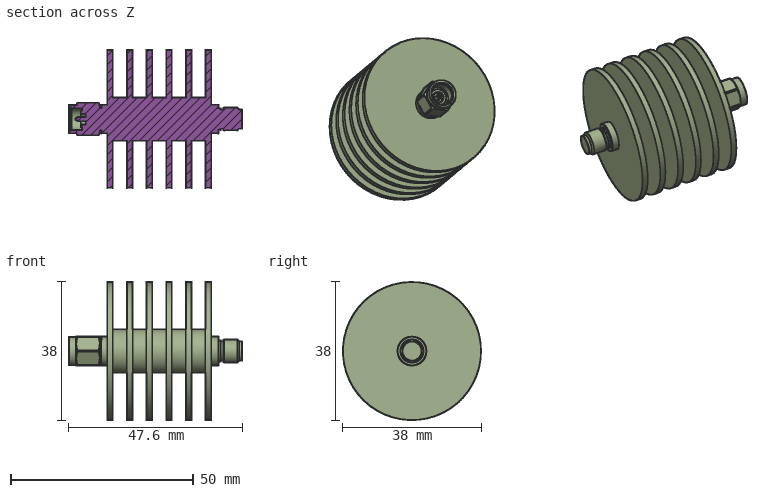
import cadquery as cq
import math

fin_radius = 19.0
fin_thickness = 1.6
fin_pitch = 5.4
fin_count = 6
first_fin_x = 10.5
hub_radius = 6.0
fins_end_x = first_fin_x + (fin_count - 1) * fin_pitch + fin_thickness

collar_radius = 4.0
front_collar_length = 1.55
rear_collar_length = 2.0
rear_collar_chamfer = 0.1
collar_start_x = first_fin_x - front_collar_length
rear_collar_end_x = fins_end_x + rear_collar_length

nut_start_x = 0.0
nut_sleeve_radius = 3.92
nut_end_x = 8.55
hex_start_x = 1.95
hex_across_flats = 8.0
hex_corner_radius = 4.5
hex_chamfer_radius = 3.8
hex_chamfer_length = 0.4
neck_radius = 3.1

mouth_radius = 3.2
mouth_depth = 0.5
bore_radius = 2.95
bore_cone_end_x = 0.75
bore_depth = 3.6

tube_radius = 2.3
tube_bore_radius = 1.46
tube_start_x = 3.2
tube_bore_end_x = 4.6
pin_shoulder_radius = 0.635
pin_shoulder_x = 2.5
pin_radius = 0.46
pin_start_x = 1.8
pin_tip_radius = 0.15
pin_tip_length = 0.4

jack_end_x = 47.6
jack_flange_radius = 3.0
jack_flange_length = 0.55
jack_groove_radius = 2.7
jack_groove_length = 0.7
jack_thread_radius = 3.2
jack_shoulder_cone_length = 0.25
jack_thread_end_x = 46.25
jack_nose_radius = 2.7
jack_nose_start_x = 46.72
jack_nose_chamfer = 0.08


def cylinder(start_x, end_x, radius):
    """Solid cylinder on the X axis."""
    return cq.Workplane("YZ", origin=(start_x, 0, 0)).circle(radius).extrude(end_x - start_x)


def revolved(profile):
    """Solid of revolution about the X axis from (x, radius) points."""
    start_x = profile[0][0]
    end_x = profile[-1][0]
    points = [(start_x, 0)] + profile + [(end_x, 0)]
    return cq.Workplane("XY").polyline(points).close().revolve(360, (0, 0, 0), (1, 0, 0))


def heat_sink():
    """Finned hub with a collar at each end."""
    body = cylinder(first_fin_x, fins_end_x, hub_radius)
    for index in range(fin_count):
        fin_x = first_fin_x + index * fin_pitch
        body = body.union(cylinder(fin_x, fin_x + fin_thickness, fin_radius))
    body = body.union(cylinder(collar_start_x, first_fin_x, collar_radius))
    rear_collar = revolved([
        (fins_end_x, collar_radius),
        (rear_collar_end_x - rear_collar_chamfer, collar_radius),
        (rear_collar_end_x, collar_radius - rear_collar_chamfer),
    ])
    return body.union(rear_collar)


def nut_hexagon():
    """Hexagon with corners on the Y axis, turned down at its corners and ends."""
    corner_diameter = hex_across_flats / math.cos(math.pi / 6)
    prism = (
        cq.Workplane("YZ", origin=(hex_start_x, 0, 0))
        .polygon(6, corner_diameter)
        .extrude(nut_end_x - hex_start_x)
    )
    envelope = revolved([
        (hex_start_x, hex_chamfer_radius),
        (hex_start_x + hex_chamfer_length, hex_corner_radius),
        (nut_end_x - hex_chamfer_length, hex_corner_radius),
        (nut_end_x, hex_chamfer_radius),
    ])
    return prism.intersect(envelope)


def nut_bore():
    """Bore with a wider mouth and a short cone between the two diameters."""
    return revolved([
        (nut_start_x, mouth_radius),
        (nut_start_x + mouth_depth, mouth_radius),
        (bore_cone_end_x, bore_radius),
        (nut_start_x + bore_depth, bore_radius),
    ])


def centre_pin():
    """Pin with a conical tip and a thicker shoulder behind it."""
    return revolved([
        (pin_start_x, pin_tip_radius),
        (pin_start_x + pin_tip_length, pin_radius),
        (pin_shoulder_x, pin_radius),
        (pin_shoulder_x, pin_shoulder_radius),
        (nut_end_x, pin_shoulder_radius),
    ])


def plug():
    """Coupling nut with the contact tube and pin in its bore, and the neck behind it."""
    nut = cylinder(nut_start_x, hex_start_x, nut_sleeve_radius).union(nut_hexagon())
    nut = nut.cut(nut_bore())
    nut = nut.union(cylinder(tube_start_x, nut_end_x, tube_radius))
    nut = nut.cut(cylinder(tube_start_x, tube_bore_end_x, tube_bore_radius))
    neck = cylinder(nut_end_x, collar_start_x, neck_radius)
    return nut.union(centre_pin()).union(neck)


def jack():
    """Rear connector: flange, groove, threaded barrel and nose."""
    flange_end_x = rear_collar_end_x + jack_flange_length
    groove_end_x = flange_end_x + jack_groove_length
    thread_start_x = groove_end_x + jack_shoulder_cone_length
    return revolved([
        (rear_collar_end_x, jack_flange_radius),
        (flange_end_x, jack_flange_radius),
        (flange_end_x, jack_groove_radius),
        (groove_end_x, jack_groove_radius),
        (groove_end_x, jack_flange_radius),
        (thread_start_x, jack_thread_radius),
        (jack_thread_end_x, jack_thread_radius),
        (jack_nose_start_x, jack_nose_radius),
        (jack_end_x - jack_nose_chamfer, jack_nose_radius),
        (jack_end_x, jack_nose_radius - jack_nose_chamfer),
    ])


result = heat_sink().union(plug()).union(jack())